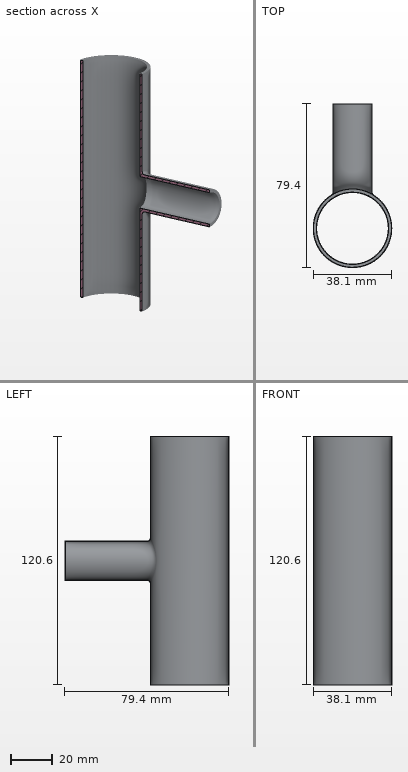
import cadquery as cq

RUN_DIAMETER = 38.1
BRANCH_DIAMETER = 19.05
WALL = 1.65
RUN_LENGTH = 120.6
BRANCH_REACH = RUN_LENGTH / 2
JUNCTION_FILLET = 1.2


def run_cylinder(diameter):
    """Upright cylinder along Z, centred on the origin."""
    return cq.Workplane("XY").circle(diameter / 2).extrude(RUN_LENGTH / 2, both=True)


def branch_cylinder(diameter):
    """Cylinder along +Y, from the run axis to the branch end."""
    return cq.Workplane("XZ").circle(diameter / 2).extrude(-BRANCH_REACH)


def outer_body():
    """Solid tee with the outer seam between run and branch rounded."""
    tee = run_cylinder(RUN_DIAMETER).union(branch_cylinder(BRANCH_DIAMETER))
    seam_zone = cq.selectors.BoxSelector(
        (-BRANCH_DIAMETER, RUN_DIAMETER / 4, -BRANCH_DIAMETER),
        (BRANCH_DIAMETER, RUN_DIAMETER / 2 + WALL, BRANCH_DIAMETER),
    )
    seam = tee.edges(seam_zone)
    return seam.fillet(JUNCTION_FILLET)


def bore():
    """Connected hollow of the run and the branch, with the same wall in both."""
    run_bore = run_cylinder(RUN_DIAMETER - 2 * WALL)
    branch_bore = branch_cylinder(BRANCH_DIAMETER - 2 * WALL)
    return run_bore.union(branch_bore)


result = outer_body().cut(bore())